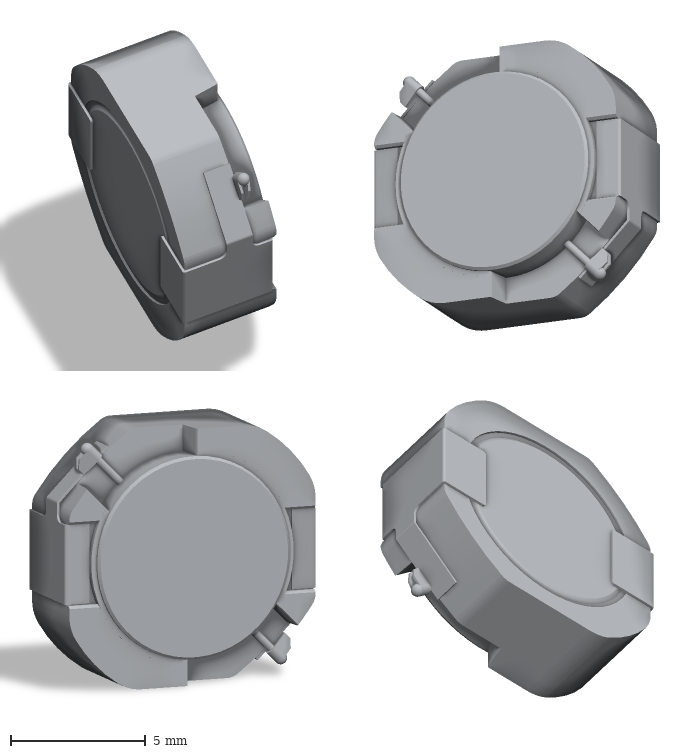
import cadquery as cq
import math


SHIELD_WIDTH = 9.8
SHIELD_HEIGHT = 9.66
SHIELD_DEPTH = 3.77
ROUND_CORNER_RADIUS = 5.43
ROUND_CORNER_BLEND = 1.7
STRIP_CORNER_RADIUS = 10.5
STRIP_CORNER_BLEND = 0.7
BORE_RADIUS = 4.03

DRUM_RADIUS = 3.83
DRUM_OVERHANG = 0.2
FRONT_CHAMFER_WIDTH = 0.19
CHAMFER_DEPTH = 0.1
RING_RECESS = CHAMFER_DEPTH

SHEET = 0.1
TERMINAL_WIDTH = 3.0
FOOT_LENGTH = 2.0
FOOT_CORNER_RADIUS = 0.13
ARM_BACK_SETBACK = 0.18
STRIP_WIDTH = 1.07
STRIP_ROOT_RADIUS = 0.3
STRIP_BEND_RADIUS = 0.05
STRIP_TIP_OFFSET = 0.87
CORNER_REACH = 5.02

WIRE_RADIUS = 0.15
HOOK_THICKNESS = 0.09
HOOK_LENGTH = 0.56
LEAD_OFFSET = 0.23
FLAP_TIP = 0.54
FLAP_CORNER = 0.27
FLAP_SLOPE = 13.0

NOTCH_FLOOR = 2.75
NOTCH_DIAGONAL_WALL = 0.91
NOTCH_UPRIGHT_WALL = 0.0
DIAGONAL_WALL_DRAFT = 0.04
UPRIGHT_WALL_DRAFT = 0.16
NOTCH_RIM_DEPTH = 0.08
NOTCH_RIM_WIDTH = 0.03
SLOT_CLEARANCE = 0.03
SLOT_FLARE = 0.1

TERMINAL_FACE = SHIELD_WIDTH / 2 + SHEET
ARM_BACK = SHIELD_DEPTH - ARM_BACK_SETBACK
ARM_FRONT = ARM_BACK - SHEET
STRIP_OUTER = CORNER_REACH + SHEET
LEAD_DEPTH = NOTCH_FLOOR + WIRE_RADIUS
HOOK_RADIUS = WIRE_RADIUS + HOOK_THICKNESS
HOOK_END = STRIP_OUTER + HOOK_LENGTH
SIDES = (0, 180)

DIAGONAL = math.sqrt(0.5)
CORNER_PLANE = cq.Plane(
    origin=(0, 0, 0),
    xDir=(DIAGONAL, 0, -DIAGONAL),
    normal=(DIAGONAL, 0, DIAGONAL),
)


def cross_section(y):
    """Workplane across the axis at depth y; extrusion runs towards -Y."""
    return cq.Workplane("XZ", origin=(0, y, 0))


def cylinder(radius, start, end):
    """Cylinder on the axis between two depths."""
    return cross_section(end).circle(radius).extrude(end - start)


def turned(body, angle):
    return body.rotate((0, 0, 0), (0, 1, 0), angle)


def on_diagonal(along, outward):
    """(X, Z) of a point given along the strip (towards +X) and outward from the axis."""
    return ((outward + along) * DIAGONAL, (outward - along) * DIAGONAL)


def corner_edges(body, sign):
    """Edges along Y in the corners where X * Z is positive (strip side) or negative (round side)."""
    return [edge for edge in body.edges("|Y").vals() if sign * edge.Center().x * edge.Center().z > 0]


def shield_blank():
    """Block with two opposite corners rounded about the axis and two flatter ones behind the strips."""
    blank = cross_section(SHIELD_DEPTH).rect(SHIELD_WIDTH, SHIELD_HEIGHT).extrude(SHIELD_DEPTH)
    blank = blank.intersect(cylinder(ROUND_CORNER_RADIUS, 0, SHIELD_DEPTH))
    blank = blank.newObject(corner_edges(blank, -1)).fillet(ROUND_CORNER_BLEND)

    centre_x, centre_z = on_diagonal(0, CORNER_REACH - STRIP_CORNER_RADIUS)
    strip_corner = cylinder(STRIP_CORNER_RADIUS, 0, SHIELD_DEPTH).translate((centre_x, 0, centre_z))
    for angle in SIDES:
        blank = blank.intersect(turned(strip_corner, angle))
    return blank.newObject(corner_edges(blank, 1)).fillet(STRIP_CORNER_BLEND)


def notch_outline(depth, diagonal_shift, upright_shift):
    """Closed wire of the notch at one depth, running from inside the drum to outside the shield."""
    diagonal_wall = NOTCH_DIAGONAL_WALL + diagonal_shift
    upright_wall = NOTCH_UPRIGHT_WALL - upright_shift
    inside = DRUM_RADIUS / 2
    outside = SHIELD_WIDTH
    corners = [
        on_diagonal(diagonal_wall, inside),
        on_diagonal(diagonal_wall, outside),
        (upright_wall, outside),
        (upright_wall, inside),
    ]
    return cq.Wire.makePolygon([cq.Vector(x, depth, z) for x, z in corners], close=True)


def lead_notch():
    """Cutter for the opening that lets a lead out of the shield, with drafted walls and a bevelled rim."""
    rim = SHIELD_DEPTH - NOTCH_RIM_DEPTH
    floor_outline = notch_outline(NOTCH_FLOOR, 0, 0)
    rim_outline = notch_outline(rim, DIAGONAL_WALL_DRAFT, UPRIGHT_WALL_DRAFT)
    back_outline = notch_outline(
        SHIELD_DEPTH,
        DIAGONAL_WALL_DRAFT + NOTCH_RIM_WIDTH,
        UPRIGHT_WALL_DRAFT + NOTCH_RIM_WIDTH,
    )
    walls = cq.Solid.makeLoft([floor_outline, rim_outline], True)
    bevel = cq.Solid.makeLoft([rim_outline, back_outline], True)
    return cq.Workplane(walls).union(cq.Workplane(bevel))


def arm_slot():
    """Cutter for the flared slot that lets a terminal arm through the shield wall."""
    half_width = TERMINAL_WIDTH / 2 + SLOT_CLEARANCE
    flare_start = SHIELD_DEPTH - SLOT_FLARE
    half = [
        (ARM_FRONT, half_width),
        (flare_start, half_width),
        (SHIELD_DEPTH, half_width + SLOT_FLARE),
    ]
    mirrored = [(y, -z) for y, z in reversed(half)]
    return cq.Workplane("YZ").polyline(half + mirrored).close().extrude(SHIELD_WIDTH)


def make_shield():
    shield = shield_blank().cut(cylinder(BORE_RADIUS, 0, SHIELD_DEPTH))
    notch = lead_notch()
    slot = arm_slot()
    for angle in SIDES:
        shield = shield.cut(turned(notch, angle))
        shield = shield.cut(turned(slot, angle))
    return shield


def make_drum():
    back = SHIELD_DEPTH + DRUM_OVERHANG
    drum_profile = [
        (0, 0),
        (DRUM_RADIUS - FRONT_CHAMFER_WIDTH, 0),
        (DRUM_RADIUS, CHAMFER_DEPTH),
        (DRUM_RADIUS, back - CHAMFER_DEPTH),
        (DRUM_RADIUS - CHAMFER_DEPTH, back),
        (0, back),
    ]
    return cq.Workplane("XY").polyline(drum_profile).close().revolve(360, (0, 0), (0, 1))


def make_ring():
    """Seal filling the gap between drum and bore, open where the leads come out."""
    ring = cylinder(BORE_RADIUS, RING_RECESS, SHIELD_DEPTH)
    ring = ring.cut(cylinder(DRUM_RADIUS, RING_RECESS, SHIELD_DEPTH))
    notch = lead_notch()
    for angle in SIDES:
        ring = ring.cut(turned(notch, angle))
    return ring


def terminal_strap():
    """Foot, side plate and rear arm bent from one sheet around the side of the shield."""
    inner = TERMINAL_FACE - SHEET
    foot_end = TERMINAL_FACE - FOOT_LENGTH
    strap_profile = [
        (foot_end, -SHEET),
        (TERMINAL_FACE, -SHEET),
        (TERMINAL_FACE, ARM_BACK),
        (BORE_RADIUS, ARM_BACK),
        (BORE_RADIUS, ARM_FRONT),
        (inner, ARM_FRONT),
        (inner, 0),
        (foot_end, 0),
    ]
    strap = cq.Workplane("XY").polyline(strap_profile).close().extrude(TERMINAL_WIDTH / 2, both=True)
    strap = strap.edges("|Z and >X").fillet(SHEET)
    return strap.edges("|Y and <X").fillet(FOOT_CORNER_RADIUS)


def terminal_strip():
    """Strip leaving the side plate and bending across the corner of the shield."""
    inner = TERMINAL_FACE - SHEET
    bend_inner = CORNER_REACH / DIAGONAL - inner
    bend_outer = STRIP_OUTER / DIAGONAL - TERMINAL_FACE
    strip_outline = [
        (inner, 0),
        (TERMINAL_FACE, 0),
        (TERMINAL_FACE, bend_outer),
        on_diagonal(-STRIP_TIP_OFFSET, STRIP_OUTER),
        on_diagonal(-STRIP_TIP_OFFSET, CORNER_REACH),
        (inner, bend_inner),
    ]
    strip = cross_section(NOTCH_FLOOR).polyline(strip_outline).close().extrude(STRIP_WIDTH)
    middle = NOTCH_FLOOR - STRIP_WIDTH / 2
    inner_bend = cq.NearestToPointSelector((inner, middle, bend_inner))
    strip = strip.edges(inner_bend).fillet(STRIP_BEND_RADIUS)
    outer_bend = cq.NearestToPointSelector((TERMINAL_FACE, middle, bend_outer))
    return strip.edges(outer_bend).fillet(STRIP_BEND_RADIUS + SHEET)


def crimp_hook():
    """Two flaps joined by a curl that wraps the lead; section drawn on the corner plane."""
    slope = math.radians(FLAP_SLOPE)
    front_tangent = -math.pi / 2
    rear_tangent = math.pi / 2 - slope
    curl_middle = math.pi - slope / 2

    def on_curl(radius, angle):
        return (radius * math.cos(angle) - LEAD_OFFSET, radius * math.sin(angle) + LEAD_DEPTH)

    def rear_flap_end(radius):
        along, depth = on_curl(radius, rear_tangent)
        return (FLAP_TIP, depth - (FLAP_TIP - along) * math.tan(slope))

    hook = (
        cq.Workplane(CORNER_PLANE)
        .workplane(offset=STRIP_OUTER)
        .moveTo(FLAP_TIP, LEAD_DEPTH - HOOK_RADIUS)
        .lineTo(*on_curl(HOOK_RADIUS, front_tangent))
        .threePointArc(on_curl(HOOK_RADIUS, curl_middle), on_curl(HOOK_RADIUS, rear_tangent))
        .lineTo(*rear_flap_end(HOOK_RADIUS))
        .lineTo(*rear_flap_end(WIRE_RADIUS))
        .lineTo(*on_curl(WIRE_RADIUS, rear_tangent))
        .threePointArc(on_curl(WIRE_RADIUS, curl_middle), on_curl(WIRE_RADIUS, front_tangent))
        .lineTo(FLAP_TIP, LEAD_DEPTH - WIRE_RADIUS)
        .close()
        .extrude(HOOK_LENGTH)
    )
    corner_cut = [
        on_diagonal(FLAP_TIP - FLAP_CORNER, HOOK_END),
        on_diagonal(FLAP_TIP, HOOK_END),
        on_diagonal(FLAP_TIP, HOOK_END - FLAP_CORNER),
    ]
    return hook.cut(cross_section(SHIELD_DEPTH).polyline(corner_cut).close().extrude(SHIELD_DEPTH))


def make_terminal():
    plate = terminal_strap().union(terminal_strip())
    edge_z = TERMINAL_WIDTH / 2
    for y in (NOTCH_FLOOR, NOTCH_FLOOR - STRIP_WIDTH):
        root = cq.NearestToPointSelector((TERMINAL_FACE - SHEET / 2, y, edge_z))
        plate = plate.edges(root).fillet(STRIP_ROOT_RADIUS)
    return plate.union(crimp_hook())


def lead_plane(outward):
    """Workplane centred on the lead axis, its normal pointing outward along the lead."""
    return cq.Workplane(CORNER_PLANE).workplane(offset=outward).center(-LEAD_OFFSET, LEAD_DEPTH)


def make_lead():
    """Round wire from the drum surface to the end of the hook."""
    wire = lead_plane(0).circle(WIRE_RADIUS).extrude(HOOK_END)
    return wire.cut(cylinder(DRUM_RADIUS, 0, SHIELD_DEPTH))


def make_bead():
    """Hemisphere of solder closing the end of the hook."""
    outer_half = lead_plane(HOOK_END).rect(4 * HOOK_RADIUS, 4 * HOOK_RADIUS).extrude(2 * HOOK_RADIUS)
    centre_x, centre_z = on_diagonal(-LEAD_OFFSET, HOOK_END)
    ball = cq.Workplane("XY").sphere(HOOK_RADIUS).translate((centre_x, LEAD_DEPTH, centre_z))
    return ball.intersect(outer_half)


shield = make_shield()
drum = make_drum()
ring = make_ring()
terminals = [turned(make_terminal(), angle) for angle in SIDES]
leads = [turned(make_lead(), angle) for angle in SIDES]
beads = [turned(make_bead(), angle) for angle in SIDES]

result = cq.Compound.makeCompound([
    shield.val(),
    drum.val(),
    ring.val(),
    *[terminal.val() for terminal in terminals],
    *[lead.val() for lead in leads],
    *[bead.val() for bead in beads],
])